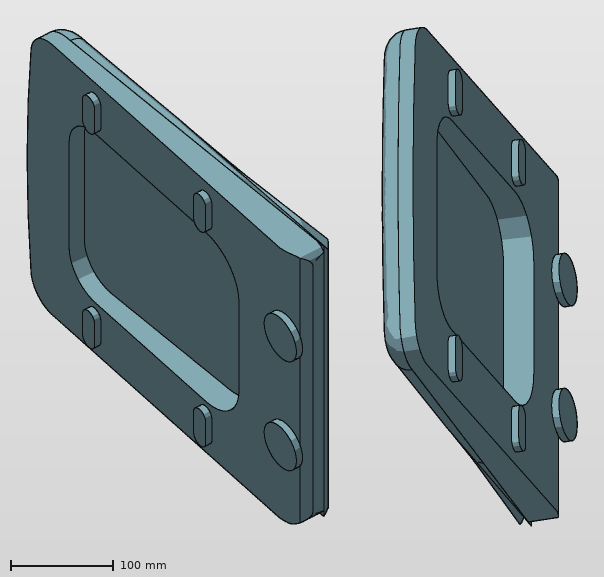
import cadquery as cq
import math


WIDTH = 360.5
HALF_WIDTH = WIDTH / 2
FRONT_BULGE = 9.5
CORNER_RADIUS = 34.7
LID_END = 433.0

SEAM_FRONT_HEIGHT = 15.5
SEAM_END_HEIGHT = 35.5

LID_TOP_FRONT_HEIGHT = 38.55
LID_TOP_END_HEIGHT = 45.5
LID_EDGE_RADIUS = 22.3
LID_END_RADIUS = 8.0
LID_REAR_START = 46.8
LID_GROOVE_START = 200.5
GROOVE_DEPTH = 10.0
GROOVE_HEIGHT = 42.8

OPENING_FRONT = 68.0
OPENING_END = 342.5
OPENING_WIDTH = 225.5
OPENING_FRONT_RADIUS = 42.5
OPENING_END_RADIUS = 53.5

HINGE_END_FACETS = [(409.5, 0), (419.0, 2.2), (423.0, 4.0), (429.5, 9.0), (435.0, 20.5)]
END_CORNER_RADIUS = 16.0

PAD_THICKNESS = 7.5
BUMPER_LENGTH = 47.5
BUMPER_WIDTH = 19.5
BUMPER_ROWS = [(109.5, -1.5), (289.0, 0)]
BUMPER_SPACING = 286.0
DISC_DIAMETER = 52.0
DISC_X = 445.5 - DISC_DIAMETER / 2
DISC_SPACING = 145.0


def height_at(x, front_height, end_height):
    """Height at x of a plane that rises evenly from the front edge to the lid end."""
    return front_height + (end_height - front_height) * x / LID_END


def seam_height(x):
    return height_at(x, SEAM_FRONT_HEIGHT, SEAM_END_HEIGHT)


def lid_top_height(x):
    return height_at(x, LID_TOP_FRONT_HEIGHT, LID_TOP_END_HEIGHT)


def extrude_across(points):
    """Extrude an XY profile over the full width, centred on Z = 0."""
    return cq.Workplane("XY").polyline(points).close().extrude(HALF_WIDTH, both=True)


def plan_block(end_x, height):
    """Block with the bowed front edge and round front corners, rising from Y = 0."""
    block = (
        cq.Workplane("XZ")
        .moveTo(end_x, -HALF_WIDTH)
        .lineTo(FRONT_BULGE, -HALF_WIDTH)
        .threePointArc((0, 0), (FRONT_BULGE, HALF_WIDTH))
        .lineTo(end_x, HALF_WIDTH)
        .close()
        .extrude(-height)
    )
    front_corners = cq.selectors.BoxSelector((-4.5, -4.5, -WIDTH), (FRONT_BULGE + 4.5, height + 4.5, WIDTH))
    return block.edges("|Y").edges(front_corners).fillet(CORNER_RADIUS)


def make_bumpers():
    points = [(x, z + side * BUMPER_SPACING / 2) for x, z in BUMPER_ROWS for side in (-1, 1)]
    bumpers = cq.Workplane("XZ").pushPoints(points)
    return bumpers.slot2D(BUMPER_LENGTH, BUMPER_WIDTH, 90).extrude(PAD_THICKNESS)


def make_hinge_discs():
    points = [(DISC_X, side * DISC_SPACING / 2) for side in (-1, 1)]
    return cq.Workplane("XZ").pushPoints(points).circle(DISC_DIAMETER / 2).extrude(PAD_THICKNESS)


def make_opening():
    opening = (
        cq.Workplane("XZ")
        .moveTo((OPENING_FRONT + OPENING_END) / 2, 0)
        .rect(OPENING_END - OPENING_FRONT, OPENING_WIDTH)
        .extrude(-SEAM_END_HEIGHT)
    )
    opening = opening.edges("|Y and <X").fillet(OPENING_FRONT_RADIUS)
    return opening.edges("|Y and >X").fillet(OPENING_END_RADIUS)


def make_ring():
    end_x = HINGE_END_FACETS[-1][0]
    side_profile = [(0, 0), *HINGE_END_FACETS, (LID_END, SEAM_END_HEIGHT), (0, SEAM_FRONT_HEIGHT)]
    block = plan_block(end_x, SEAM_END_HEIGHT).edges("|Y and >X").fillet(END_CORNER_RADIUS)
    ring = block.intersect(extrude_across(side_profile))
    return ring.cut(make_opening()).union(make_bumpers()).union(make_hinge_discs())


def make_lid_front():
    """Front of the lid, with its top edge rounded along the bow and the corners."""
    below_top = extrude_across([
        (0, 0), (LID_END, 0), (LID_END, LID_TOP_END_HEIGHT), (0, LID_TOP_FRONT_HEIGHT)
    ])
    front = plan_block(LID_END, LID_TOP_END_HEIGHT).intersect(below_top)
    front = front.faces(">Y").edges("not(>X)").fillet(LID_EDGE_RADIUS)
    above_seam = extrude_across([
        (0, SEAM_FRONT_HEIGHT),
        (LID_REAR_START, seam_height(LID_REAR_START)),
        (LID_REAR_START, LID_TOP_END_HEIGHT),
        (0, LID_TOP_END_HEIGHT),
    ])
    return front.intersect(above_seam)


def lid_groove_section(x):
    """Cross-section at x with a V groove in each side, under a sharp lip."""
    corners = [
        (SEAM_END_HEIGHT, HALF_WIDTH),
        (GROOVE_HEIGHT, HALF_WIDTH - GROOVE_DEPTH),
        (LID_TOP_END_HEIGHT, HALF_WIDTH),
    ]
    right = [cq.Vector(x, y, z) for y, z in corners]
    left = [cq.Vector(x, y, -z) for y, z in reversed(corners)]
    return cq.Wire.makePolygon([*right, *left], close=True)


def lid_round_section(x, radius):
    """Cross-section at x with round upper corners, each split in two to match the groove."""
    centre_y = lid_top_height(x) - radius
    centre_z = HALF_WIDTH - radius
    start_angle = math.asin(max(0, seam_height(x) - centre_y) / radius)
    step = (math.pi / 2 - start_angle) / 4

    def corner_points(side):
        angles = [start_angle + i * step for i in range(5)]
        return [
            cq.Vector(x, centre_y + radius * math.sin(a), side * (centre_z + radius * math.cos(a)))
            for a in angles
        ]

    right = corner_points(1)
    left = corner_points(-1)[::-1]
    return cq.Wire.assembleEdges([
        cq.Edge.makeThreePointArc(*right[:3]),
        cq.Edge.makeThreePointArc(*right[2:]),
        cq.Edge.makeLine(right[-1], left[0]),
        cq.Edge.makeThreePointArc(*left[:3]),
        cq.Edge.makeThreePointArc(*left[2:]),
        cq.Edge.makeLine(left[-1], right[0]),
    ])


def make_lid_rear():
    """Rear of the lid: the rounded side edge shrinks, then turns into a V groove."""
    groove_start_radius = lid_top_height(LID_GROOVE_START) - seam_height(LID_GROOVE_START)
    sections = [
        lid_round_section(LID_REAR_START, LID_EDGE_RADIUS),
        lid_round_section(LID_GROOVE_START, groove_start_radius),
        lid_groove_section(LID_END),
    ]
    return cq.Workplane(cq.Solid.makeLoft(sections, True))


def make_lid():
    lid = make_lid_front().union(make_lid_rear())
    corner_x = LID_END - LID_END_RADIUS
    corner_y = LID_TOP_END_HEIGHT - LID_END_RADIUS
    diagonal = LID_END_RADIUS * math.sqrt(0.5)
    end_round = (
        cq.Workplane("XY")
        .moveTo(corner_x, LID_TOP_END_HEIGHT)
        .threePointArc((corner_x + diagonal, corner_y + diagonal), (LID_END, corner_y))
        .lineTo(LID_END, LID_TOP_END_HEIGHT)
        .close()
        .extrude(HALF_WIDTH, both=True)
    )
    return lid.cut(end_round)


ring = make_ring()
lid = make_lid()

result = cq.Compound.makeCompound([ring.val(), lid.val()])